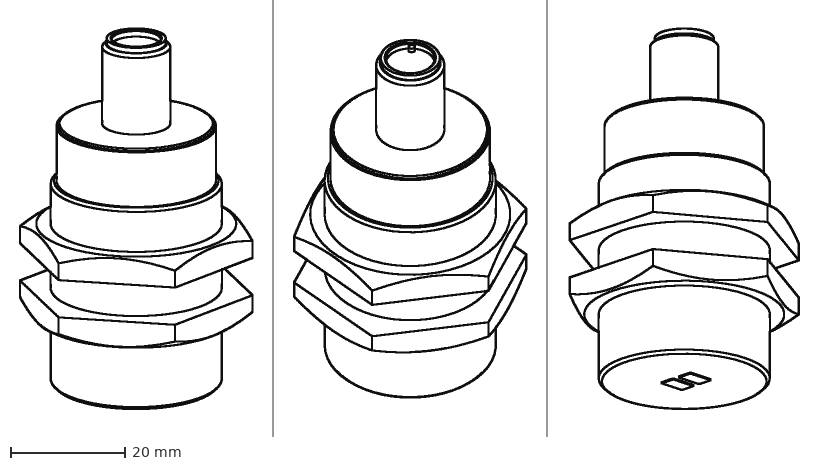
import cadquery as cq
import math

total_height = 64.0
pad_height = 0.2

barrel_diameter = 30.0
barrel_top = 37.6
barrel_chamfer = 0.6

collar_diameter = 28.0
collar_top = 48.2
cap_diameter = 27.5
cap_height = 0.5
cap_chamfer = 0.3

stem_diameter = 12.0
stem_top = 63.05
stem_chamfer = 0.65
tip_diameter = 10.4

socket_diameter = 8.6
socket_depth = 1.2
socket_chamfer = 0.2
key_diameter = 1.15
key_height = 0.8
key_radius = 3.8
key_angle = -45

nut_across_flats = 36.0
nut_thickness = 5.0
nut_face_diameter = 35.1
nut_chamfer_angle = 30
upper_nut_bottom = 24.6
lower_nut_bottom = 12.7

pad_width = 2.9
pad_length = 5.0
pad_centers_x = (-1.65, 2.6)


def cylinder(diameter, bottom, top):
    return cq.Workplane("XY").workplane(offset=bottom).circle(diameter / 2).extrude(top - bottom)


def nut():
    """Hexagon nut standing on Z = 0, its top corners cut by a cone."""
    corner_diameter = nut_across_flats / math.cos(math.pi / 6)
    corner_radius = corner_diameter / 2
    face_radius = nut_face_diameter / 2
    corner_drop = (corner_radius - face_radius) * math.tan(math.radians(nut_chamfer_angle))
    hexagon = cq.Workplane("XY").polygon(6, corner_diameter).extrude(nut_thickness)
    envelope = (
        cq.Workplane("XZ")
        .moveTo(0, 0)
        .lineTo(corner_radius, 0)
        .lineTo(corner_radius, nut_thickness - corner_drop)
        .lineTo(face_radius, nut_thickness)
        .lineTo(0, nut_thickness)
        .close()
        .revolve(360, (0, 0, 0), (0, 1, 0))
    )
    return hexagon.intersect(envelope)


def body():
    barrel = cylinder(barrel_diameter, pad_height, barrel_top).edges().chamfer(barrel_chamfer)
    cap_bottom = collar_top - cap_height
    collar = cylinder(collar_diameter, barrel_top, cap_bottom)
    cap = cylinder(cap_diameter, cap_bottom, collar_top).faces(">Z").chamfer(cap_chamfer)
    stem = cylinder(stem_diameter, collar_top, stem_top).faces(">Z").chamfer(stem_chamfer)
    tip = cylinder(tip_diameter, stem_top, total_height)
    return barrel.union(collar).union(cap).union(stem).union(tip)


def socket():
    floor = total_height - socket_depth
    bore = cylinder(socket_diameter, floor, total_height)
    mouth = (
        cq.Workplane("XY")
        .workplane(offset=total_height)
        .circle(socket_diameter / 2 + socket_chamfer)
        .workplane(offset=-socket_chamfer)
        .circle(socket_diameter / 2)
        .loft()
    )
    return bore.union(mouth)


def key():
    floor = total_height - socket_depth
    angle = math.radians(key_angle)
    place = (key_radius * math.cos(angle), key_radius * math.sin(angle), 0)
    return cylinder(key_diameter, floor, floor + key_height).translate(place)


def base_pads():
    return (
        cq.Workplane("XY")
        .pushPoints([(x, 0) for x in pad_centers_x])
        .rect(pad_width, pad_length)
        .extrude(pad_height)
    )


upper_nut = nut().translate((0, 0, upper_nut_bottom))
lower_nut = nut().rotate((0, 0, 0), (1, 0, 0), 180).translate((0, 0, lower_nut_bottom + nut_thickness))

result = body().union(upper_nut).union(lower_nut).cut(socket()).union(key()).union(base_pads())